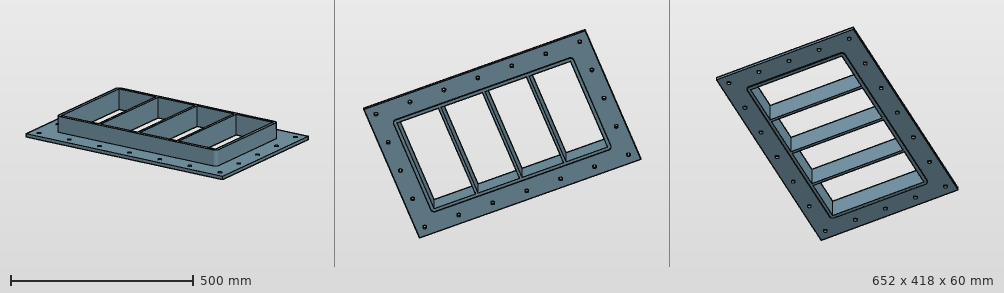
import cadquery as cq

plate_length = 652.0
plate_width = 418.0
plate_thickness = 10.0

frame_length = 530.0
frame_width = 298.0
frame_height = 60.0
frame_wall = 10.0
frame_corner_radius = 10.0
frame_below_plate = 4.0

bay_count = 4
rib_thickness = 8.0

hole_diameter = 10.5
hole_span_x = 600.0
hole_span_y = 367.0
hole_count_x = 7
hole_count_y = 5

opening_length = frame_length - 2 * frame_wall
opening_width = frame_width - 2 * frame_wall
bay_length = (opening_length - (bay_count - 1) * rib_thickness) / bay_count
bay_pitch = bay_length + rib_thickness


def make_plate():
    """Flange plate with its underside above the lower rim of the frame."""
    return (
        cq.Workplane("XY", origin=(0, 0, frame_below_plate))
        .rect(plate_length, plate_width)
        .extrude(plate_thickness)
    )


def make_frame_block():
    """Solid block with the rounded outline of the frame."""
    return (
        cq.Workplane("XY")
        .rect(frame_length, frame_width)
        .extrude(frame_height)
        .edges("|Z")
        .fillet(frame_corner_radius)
    )


def make_bays():
    """Equal through openings that leave the frame walls and ribs standing."""
    return (
        cq.Workplane("XY")
        .rarray(bay_pitch, 6.5, bay_count, 1)
        .rect(bay_length, opening_width)
        .extrude(frame_height)
    )


def hole_centers():
    """Evenly spaced hole centers on a rectangle, each corner listed once."""
    pitch_x = hole_span_x / (hole_count_x - 1)
    pitch_y = hole_span_y / (hole_count_y - 1)
    centers = []
    for column in range(hole_count_x):
        for row in range(hole_count_y):
            on_side = column in (0, hole_count_x - 1)
            on_end = row in (0, hole_count_y - 1)
            if on_side or on_end:
                x = column * pitch_x - hole_span_x / 2
                y = row * pitch_y - hole_span_y / 2
                centers.append((x, y))
    return centers


def make_bolt_holes():
    """Cylinders that cut the bolt holes through the plate."""
    return (
        cq.Workplane("XY")
        .pushPoints(hole_centers())
        .circle(hole_diameter / 2)
        .extrude(frame_height)
    )


result = make_plate().union(make_frame_block()).cut(make_bays()).cut(make_bolt_holes())